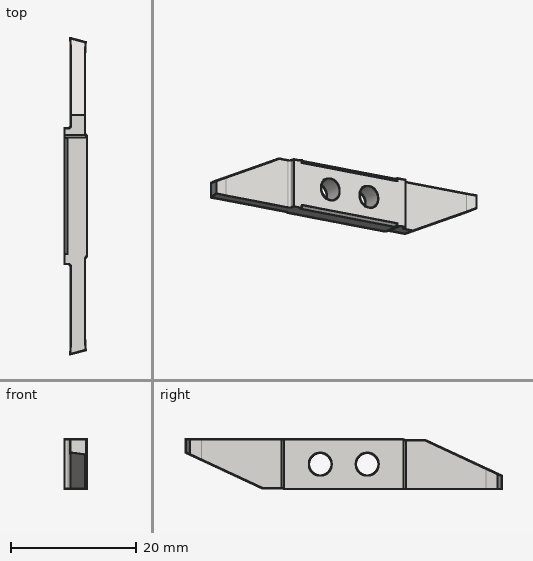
import cadquery as cq
import math


thickness = 3.6
length = 50.5
height = 8.0

tip_depth = 0.9
tip_width = 2.5
tip_relief_angle = 3.0
tip_length = 1.9
end_angle = 15.0
slope_angle = 25.0
slope_start = 13.0

shoulder_y = 10.85
shoulder_fillet = 0.45
back_step_y = 9.95
back_bevel_angle = 35.0
edge_drop = 0.15
edge_ramp_inner = 9.35
edge_ramp_outer = 9.8
chamfer_size = 0.5
chamfer_length = 18.5
hole_diameter = 3.6
hole_spacing = 7.5

half_length = length / 2
half_height = height / 2
body_left = -thickness / 2
body_right = thickness / 2
tip_left = body_left + tip_depth
tip_right = tip_left + tip_width
tip_relief = tip_length * math.tan(math.radians(tip_relief_angle))
blade_left = tip_left + tip_relief
blade_right = tip_right - tip_relief
end_setback = tip_width * math.tan(math.radians(end_angle))
back_bevel_run = (body_right - blade_right) / math.tan(math.radians(back_bevel_angle))
tip_back_y = half_length - end_setback


def half_plan():
    """Plan outline of the +Y half, extruded over the full height."""
    outline = [
        (body_left, 0),
        (body_left, shoulder_y),
        (blade_left, shoulder_y),
        (blade_left, half_length - tip_length),
        (tip_left, half_length),
        (tip_right, tip_back_y),
        (blade_right, tip_back_y - tip_length),
        (blade_right, back_step_y),
        (body_right, back_step_y - back_bevel_run),
        (body_right, 0),
    ]
    solid = cq.Workplane("XY").polyline(outline).close().extrude(height)
    solid = solid.translate((0, 0, -half_height))
    inner_corner = cq.selectors.NearestToPointSelector((blade_left, shoulder_y, 0))
    return solid.edges(inner_corner).fillet(shoulder_fillet)


def half_side():
    """Side outline of the +Y half, extruded through the full thickness."""
    blade_top = half_height - edge_drop
    slope_drop = (half_length - slope_start) * math.tan(math.radians(slope_angle))
    outline = [
        (0, -half_height),
        (half_length, -half_height),
        (half_length, blade_top - slope_drop),
        (slope_start, blade_top),
        (edge_ramp_outer, blade_top),
        (edge_ramp_inner, half_height),
        (0, half_height),
    ]
    return cq.Workplane("YZ").workplane(offset=body_left).polyline(outline).close().extrude(thickness)


def edge_chamfer():
    """Wedge that cuts the upper -X edge of the body."""
    outline = [
        (body_left, half_height),
        (body_left + chamfer_size, half_height),
        (body_left, half_height - chamfer_size),
    ]
    return cq.Workplane("XZ").polyline(outline).close().extrude(chamfer_length / 2, both=True)


def half_turn(shape):
    return shape.rotate((0, 0, 0), (1, 0, 0), 180)


def mounting_holes():
    return (
        cq.Workplane("YZ")
        .workplane(offset=body_left)
        .pushPoints([(-hole_spacing / 2, 0), (hole_spacing / 2, 0)])
        .circle(hole_diameter / 2)
        .extrude(thickness)
    )


half = half_plan().intersect(half_side())
wedge = edge_chamfer()
result = half.union(half_turn(half))
result = result.cut(wedge).cut(half_turn(wedge)).cut(mounting_holes())